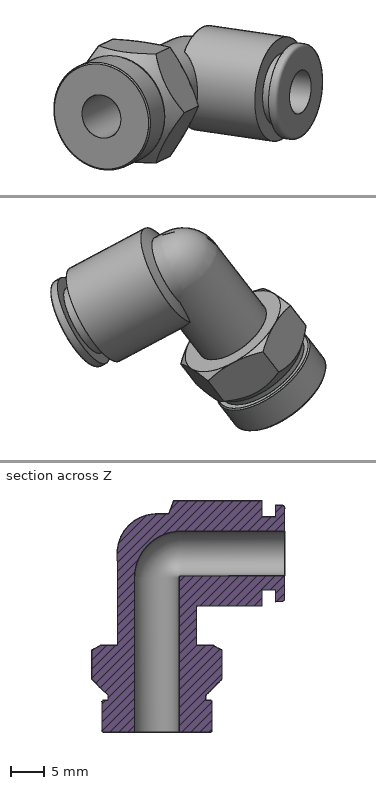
import cadquery as cq
import math

overall_length = 34.85
tube_radius = 6.0
bore_radius = 3.35
bend_radius = 3.65

body_radius = 7.95
shoulder_start = 1.78
body_start = 2.5
body_end = 15.85
collar_neck_radius = 5.55
collar_radius = 7.3
collar_start = 17.85
arm_end = 19.27
collar_fillet = 0.52

nut_flats = 17.0
nut_start = 13.75
nut_chamfer_angle = 30
nut_cone_end = 21.33
plug_neck_radius = 7.4
plug_radius = 8.33
plug_start = 22.05
plug_chamfer = 0.2
leg_end = overall_length - body_radius

nut_inradius = nut_flats / 2
nut_corner_radius = nut_inradius / math.cos(math.radians(30))
nut_chamfer_height = (nut_corner_radius - nut_inradius) * math.tan(math.radians(nut_chamfer_angle))
nut_cone_height = nut_corner_radius - plug_neck_radius


def leg_cylinder(radius, start, end):
    """Cylinder around the -Y axis between two distances from the origin."""
    return cq.Workplane("XZ", origin=(0, -start, 0)).circle(radius).extrude(end - start)


def arm_cylinder(radius, start, end):
    """Cylinder around the +X axis between two positions."""
    return cq.Workplane("YZ", origin=(start, 0, 0)).circle(radius).extrude(end - start)


def elbow_tube():
    """Outer tube: two cylinders joined by a ball at the corner."""
    ball = cq.Workplane("XY").sphere(tube_radius)
    leg = leg_cylinder(tube_radius, 0, nut_start)
    return leg.union(arm_cylinder(tube_radius, 0, shoulder_start)).union(ball)


def bore():
    """Through passage with a smooth quarter-circle bend at the corner."""
    bend = (
        cq.Workplane("XZ", origin=(0, -bend_radius, 0))
        .circle(bore_radius)
        .revolve(90, (bend_radius, 0.35), (bend_radius, 0))
    )
    leg = leg_cylinder(bore_radius, bend_radius, leg_end)
    return leg.union(bend).union(arm_cylinder(bore_radius, bend_radius, arm_end))


def arm():
    """Socket body with a tapered shoulder, and the release collar at its end."""
    body_profile = [
        (shoulder_start, 0),
        (shoulder_start, tube_radius),
        (body_start, body_radius),
        (body_end, body_radius),
        (body_end, 0),
    ]
    body = cq.Workplane("XY").polyline(body_profile).close().revolve(360, (0, 0), (1, 0))
    neck = arm_cylinder(collar_neck_radius, body_end, collar_start)
    collar = arm_cylinder(collar_radius, collar_start, arm_end).faces(">X").edges().fillet(collar_fillet)
    return body.union(neck).union(collar)


def nut():
    """Hexagon with corners on the X axis, trimmed by a cone at each end."""
    hexagon = (
        cq.Workplane("XZ", origin=(0, -nut_start, 0))
        .polygon(6, 2 * nut_corner_radius)
        .extrude(nut_cone_end - nut_start)
    )
    trim_profile = [
        (0, -nut_start),
        (nut_inradius, -nut_start),
        (nut_corner_radius, -nut_start - nut_chamfer_height),
        (nut_corner_radius, -nut_cone_end + nut_cone_height),
        (plug_neck_radius, -nut_cone_end),
        (0, -nut_cone_end),
    ]
    trim = cq.Workplane("XY").polyline(trim_profile).close().revolve(360, (0, 0), (0, 1))
    return hexagon.intersect(trim)


def plug():
    """Round end piece below the nut, chamfered on both rims."""
    neck = leg_cylinder(plug_neck_radius, nut_cone_end, plug_start)
    head = leg_cylinder(plug_radius, plug_start, leg_end).edges().chamfer(plug_chamfer)
    return neck.union(head)


outside = elbow_tube().union(arm()).union(nut()).union(plug())
result = outside.cut(bore())